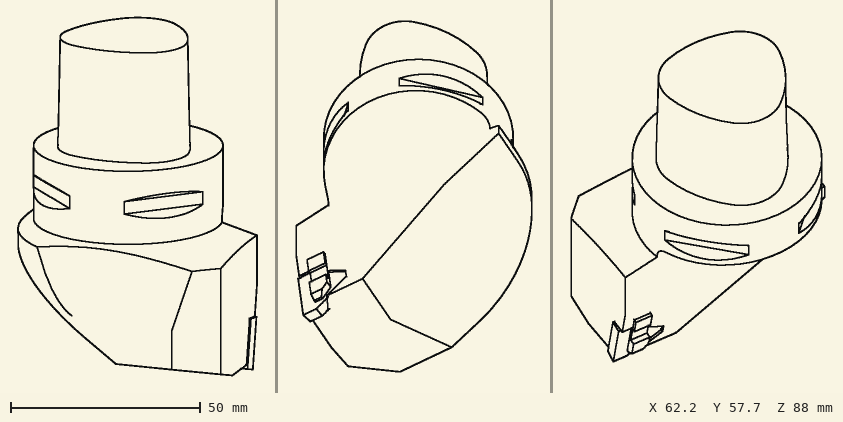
import cadquery as cq
import math


def sin(degrees):
    return math.sin(math.radians(degrees))


def cos(degrees):
    return math.cos(math.radians(degrees))


def tan(degrees):
    return math.tan(math.radians(degrees))



SHANK_HEIGHT = 30.0
LOBE_TIP_RADIUS = 18.7
WAIST_RADIUS = 16.1
LOBE_ARC_RADIUS = 11.5
LOBE_DIRECTIONS = (90, 210, 330)
HALF_LOBE_PITCH = 60
SHANK_TAPER = math.degrees(math.atan(1 / 50))

FLANGE_RADIUS = 25.0
FLANGE_HEIGHT = 20.0
GROOVE_COUNT = 4
FIRST_GROOVE_DIRECTION = 45.0
GROOVE_DEPTH = 2.75
GROOVE_FLOOR_HEIGHT = 3.4
GROOVE_FLARE_ANGLE = 31.0
RELIEF_EDGE_HEIGHT = 14.6
RELIEF_ANGLE = 5.0
RELIEF_FILLET = 3.5

HEAD_LEFT = -27.15
HEAD_RIGHT = 34.3
HEAD_BACK = 5.0
HEAD_FRONT = -32.7
HEAD_BOTTOM = -56.0
HEAD_CORNER_RADIUS = -HEAD_LEFT
HEAD_CORNER_CHAMFER = 10.0
SHOULDER_ANGLE = 15.0
FRONT_LEAN_ANGLE = 15.0
FRONT_LEAN_BOTTOM = -39.5
UNDERCUT_START = (HEAD_FRONT, -50.35)
UNDERCUT_END_Y = -13.8
LEFT_EDGE_BOTTOM = -24.4
DIAGONAL_ANGLE = 36.0
SEAT_TOP = -36.4
SEAT_ANGLE = 11.3

TIP_X = 35.0
TIP_Z = -58.0
INSERT_EDGE = 14.0
INSERT_CORNER_WIDTH = 4.0
INSERT_HALF_ANGLE = 30.0
INSERT_THICKNESS = 3.4
INSERT_CLEARANCE_ANGLE = 5.0

CLAMP_RIGHT = 31.0
CLAMP_WIDTH = 5.0
NOSE_START = 2.6
NOSE_RAMP_END = 3.8
NOSE_END = 8.3
PAD_START = 13.2
PAD_END = 17.5
NOSE_HEIGHT = 2.15
PAD_HEIGHT = 1.55
NOSE_CORNER_CUT = 2.8

SEAT_UP = (0, sin(SEAT_ANGLE), cos(SEAT_ANGLE))
SEAT_OUT = (0, cos(SEAT_ANGLE), -sin(SEAT_ANGLE))
SEAT_BOTTOM_Y = HEAD_BACK - (SEAT_TOP - HEAD_BOTTOM) * tan(SEAT_ANGLE)
SEAT_STEP = SEAT_BOTTOM_Y * cos(SEAT_ANGLE) - (HEAD_BOTTOM - TIP_Z) * sin(SEAT_ANGLE)
INSERT_TOP_FACE = cq.Plane(origin=(TIP_X, 0, TIP_Z), xDir=(-1, 0, 0), normal=SEAT_OUT)


def polar(radius, degrees):
    return (radius * cos(degrees), radius * sin(degrees))


def make_shank():
    lobe_centre = LOBE_TIP_RADIUS - LOBE_ARC_RADIUS
    gap = WAIST_RADIUS - LOBE_ARC_RADIUS
    flank_centre = (gap**2 - lobe_centre**2) / (lobe_centre - 2 * gap)
    joint_normal = math.degrees(
        math.atan2(
            lobe_centre + flank_centre * cos(HALF_LOBE_PITCH),
            flank_centre * sin(HALF_LOBE_PITCH),
        )
    )
    joint_x = LOBE_ARC_RADIUS * cos(joint_normal)
    joint_y = lobe_centre + LOBE_ARC_RADIUS * sin(joint_normal)
    joint_radius = math.hypot(joint_x, joint_y)
    joint_offset = math.degrees(math.atan2(joint_x, joint_y))

    outline = cq.Workplane("XY").moveTo(*polar(joint_radius, LOBE_DIRECTIONS[0] - joint_offset))
    for lobe in LOBE_DIRECTIONS:
        outline = outline.threePointArc(
            polar(LOBE_TIP_RADIUS, lobe),
            polar(joint_radius, lobe + joint_offset),
        ).threePointArc(
            polar(WAIST_RADIUS, lobe + HALF_LOBE_PITCH),
            polar(joint_radius, lobe + 2 * HALF_LOBE_PITCH - joint_offset),
        )
    return outline.close().extrude(SHANK_HEIGHT, taper=SHANK_TAPER)


def make_gripper_groove(direction):
    """Straight groove with flared walls across the rim of the flange."""
    floor = FLANGE_RADIUS - GROOVE_DEPTH
    mouth = FLANGE_RADIUS + GROOVE_DEPTH
    half_floor = GROOVE_FLOOR_HEIGHT / 2
    half_mouth = half_floor + (mouth - floor) * tan(GROOVE_FLARE_ANGLE)
    return (
        cq.Workplane("XZ")
        .polyline([(floor, -half_floor), (mouth, -half_mouth), (mouth, half_mouth), (floor, half_floor)])
        .close()
        .extrude(FLANGE_RADIUS, both=True)
        .translate((0, 0, -FLANGE_HEIGHT / 2))
        .rotate((0, 0, 0), (0, 0, 1), direction)
    )


def make_rear_relief():
    """Space behind the head, under the sloping rear part of the flange."""
    reach = 2 * FLANGE_RADIUS
    inner_z = -RELIEF_EDGE_HEIGHT - (FLANGE_RADIUS - HEAD_BACK) * tan(RELIEF_ANGLE)
    outer_z = inner_z + (reach - HEAD_BACK) * tan(RELIEF_ANGLE)
    return (
        cq.Workplane("YZ")
        .polyline([(HEAD_BACK, HEAD_BOTTOM), (HEAD_BACK, inner_z), (reach, outer_z), (reach, HEAD_BOTTOM)])
        .close()
        .extrude(reach, both=True)
        .edges("|X")
        .edges("<Y")
        .edges(">Z")
        .fillet(RELIEF_FILLET)
    )


def make_flange():
    flange = cq.Workplane("XY").circle(FLANGE_RADIUS).extrude(-FLANGE_HEIGHT)
    for index in range(GROOVE_COUNT):
        flange = flange.cut(make_gripper_groove(FIRST_GROOVE_DIRECTION + index * 360 / GROOVE_COUNT))
    return flange


def make_head():
    """Head: the common part of its plan, its two side profiles and a cone under the flange."""
    length = -HEAD_BOTTOM - FLANGE_HEIGHT
    reach = 2 * HEAD_RIGHT

    corner_centre = (HEAD_LEFT + HEAD_CORNER_RADIUS, HEAD_FRONT + HEAD_CORNER_RADIUS)
    corner_middle = (
        corner_centre[0] + HEAD_CORNER_RADIUS * cos(225),
        corner_centre[1] + HEAD_CORNER_RADIUS * sin(225),
    )
    plan = (
        cq.Workplane("XY", origin=(0, 0, -FLANGE_HEIGHT))
        .moveTo(HEAD_LEFT, HEAD_BACK)
        .lineTo(HEAD_LEFT, corner_centre[1])
        .threePointArc(corner_middle, (corner_centre[0], HEAD_FRONT))
        .lineTo(HEAD_RIGHT - HEAD_CORNER_CHAMFER, HEAD_FRONT)
        .lineTo(HEAD_RIGHT, HEAD_FRONT + HEAD_CORNER_CHAMFER)
        .lineTo(HEAD_RIGHT, HEAD_BACK)
        .close()
        .extrude(-length)
    )

    front_top_y = HEAD_FRONT + (-FLANGE_HEIGHT - FRONT_LEAN_BOTTOM) * tan(FRONT_LEAN_ANGLE)
    side_profile = (
        cq.Workplane("YZ")
        .polyline(
            [
                (HEAD_BACK, -FLANGE_HEIGHT),
                (HEAD_BACK, SEAT_TOP),
                (SEAT_BOTTOM_Y, HEAD_BOTTOM),
                (UNDERCUT_END_Y, HEAD_BOTTOM),
                UNDERCUT_START,
                (HEAD_FRONT, FRONT_LEAN_BOTTOM),
                (front_top_y, -FLANGE_HEIGHT),
            ]
        )
        .close()
        .extrude(reach, both=True)
    )

    diagonal_end_x = HEAD_LEFT + (LEFT_EDGE_BOTTOM - HEAD_BOTTOM) / tan(DIAGONAL_ANGLE)
    front_profile = (
        cq.Workplane("XZ")
        .polyline(
            [
                (HEAD_LEFT, -FLANGE_HEIGHT),
                (HEAD_LEFT, LEFT_EDGE_BOTTOM),
                (diagonal_end_x, HEAD_BOTTOM),
                (HEAD_RIGHT, HEAD_BOTTOM),
                (HEAD_RIGHT, -FLANGE_HEIGHT),
            ]
        )
        .close()
        .extrude(reach, both=True)
    )

    cone_bottom_radius = FLANGE_RADIUS + length / tan(SHOULDER_ANGLE)
    cone = cq.Workplane(
        cq.Solid.makeCone(
            FLANGE_RADIUS,
            cone_bottom_radius,
            length,
            pnt=cq.Vector(0, 0, -FLANGE_HEIGHT),
            dir=cq.Vector(0, 0, -1),
        )
    )
    return plan.intersect(side_profile).intersect(front_profile).intersect(cone)


def insert_outline():
    """Insert outline on its top face: x runs inward from the cutting edge, y up along it."""
    corner_drop = INSERT_CORNER_WIDTH * tan(INSERT_HALF_ANGLE)
    side = INSERT_EDGE + 2 * corner_drop
    far_x = (side - corner_drop) * cos(INSERT_HALF_ANGLE)
    half_far = corner_drop * sin(INSERT_HALF_ANGLE)
    middle = INSERT_EDGE / 2
    return (
        cq.Workplane(INSERT_TOP_FACE)
        .polyline(
            [
                (0, 0),
                (INSERT_CORNER_WIDTH, 0),
                (far_x, middle - half_far),
                (far_x, middle + half_far),
                (INSERT_CORNER_WIDTH, INSERT_EDGE),
                (0, INSERT_EDGE),
            ]
        )
        .close()
    )


def make_insert():
    return insert_outline().extrude(-INSERT_THICKNESS, taper=INSERT_CLEARANCE_ANGLE)


def make_clamp():
    """Bar let into the seat face, with a raised nose over the insert and a raised pad behind it."""
    right_x = TIP_X - CLAMP_RIGHT
    left_x = right_x + CLAMP_WIDTH
    plan = (
        cq.Workplane(INSERT_TOP_FACE)
        .polyline(
            [
                (right_x, NOSE_START),
                (left_x - NOSE_CORNER_CUT, NOSE_START),
                (left_x, NOSE_START + NOSE_CORNER_CUT),
                (left_x, PAD_END),
                (right_x, PAD_END),
            ]
        )
        .close()
        .extrude(max(NOSE_HEIGHT, PAD_HEIGHT))
    )
    profile_plane = cq.Plane(origin=(CLAMP_RIGHT, 0, TIP_Z), xDir=SEAT_UP, normal=(-1, 0, 0))
    profile = (
        cq.Workplane(profile_plane)
        .polyline(
            [
                (NOSE_START, 0),
                (NOSE_START, SEAT_STEP),
                (NOSE_RAMP_END, NOSE_HEIGHT),
                (NOSE_END, NOSE_HEIGHT),
                (NOSE_END, SEAT_STEP),
                (PAD_START, SEAT_STEP),
                (PAD_START, PAD_HEIGHT),
                (PAD_END, PAD_HEIGHT),
                (PAD_END, 0),
            ]
        )
        .close()
        .extrude(CLAMP_WIDTH)
    )
    return plan.intersect(profile)


insert = make_insert()
clamp = make_clamp()

insert_opening = insert_outline().extrude(2 * SEAT_STEP)
holder = (
    make_flange()
    .union(make_shank())
    .union(make_head())
    .cut(make_rear_relief())
    .cut(insert_opening)
    .cut(insert)
    .cut(clamp)
)

result = cq.Compound.makeCompound([*holder.solids().vals(), *insert.solids().vals(), *clamp.solids().vals()])